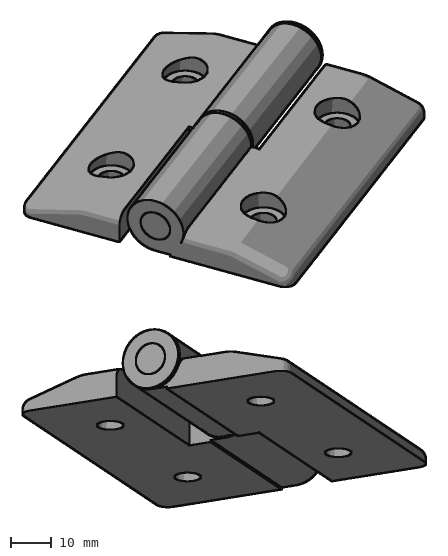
import cadquery as cq
import math


hinge_width = 73.0
hinge_length = 81.1
half_width = hinge_width / 2
front_y = -hinge_length / 2
back_y = hinge_length / 2

washer_thickness = 1.0
axial_play = 0.1

leaf_length = hinge_length - washer_thickness - axial_play
leaf_height = 8.0
leaf_edge_x = 9.7
edge_radius = 3.0
side_height = 1.05
slope_angle = math.radians(16.3)
bend_radius = 10.0

knuckle_radius = 7.55
axis_z = leaf_height
knuckle_length = (leaf_length - washer_thickness) / 2
pin_radius = 4.0
relief_half_width = 4.0
relief_height = axis_z - knuckle_radius

hole_x = 20.5
hole_spacing = 43.0
hole_diameter = 6.5
counterbore_diameter = 11.0
counterbore_floor_z = 3.6

slope_outer_z = (
    side_height
    + edge_radius / math.cos(slope_angle)
    - edge_radius * math.tan(slope_angle)
)
bend_x = half_width - (leaf_height - slope_outer_z) / math.tan(slope_angle)


def y_cylinder(radius, y_start, length):
    """Cylinder on the pin axis, running in +Y from y_start."""
    return (
        cq.Workplane("XZ", origin=(0, y_start, axis_z))
        .circle(radius)
        .extrude(-length)
    )


def make_plate():
    """Rounded plate with a sloping outer side, reaching in to the pin axis."""
    tangent_length = bend_radius * math.tan(slope_angle / 2)
    bend_inner = (bend_x - tangent_length, leaf_height)
    bend_middle = (
        bend_inner[0] + bend_radius * math.sin(slope_angle / 2),
        leaf_height - bend_radius * (1 - math.cos(slope_angle / 2)),
    )
    bend_outer = (
        bend_x + tangent_length * math.cos(slope_angle),
        leaf_height - tangent_length * math.sin(slope_angle),
    )
    plate = (
        cq.Workplane("XZ", origin=(0, front_y, 0))
        .moveTo(0, 0)
        .lineTo(half_width, 0)
        .lineTo(half_width, slope_outer_z)
        .lineTo(*bend_outer)
        .threePointArc(bend_middle, bend_inner)
        .lineTo(0, leaf_height)
        .close()
        .extrude(-leaf_length)
    )
    slope_middle_x = (half_width + bend_outer[0]) / 2
    slope_middle_z = (slope_outer_z + bend_outer[1]) / 2
    leaf_back_y = front_y + leaf_length
    rim_points = [
        (half_width, (front_y + leaf_back_y) / 2, slope_outer_z),
        (slope_middle_x, front_y, slope_middle_z),
        (slope_middle_x, leaf_back_y, slope_middle_z),
    ]
    rounded_edges = plate.edges("|Z and >X").vals()
    for point in rim_points:
        rounded_edges.append(plate.edges(cq.selectors.NearestToPointSelector(point)).val())
    return plate.newObject(rounded_edges).fillet(edge_radius)


def make_leaf():
    """Right-hand leaf, with its knuckle at the front end of the hinge."""
    clearance = cq.Workplane("XY").box(
        leaf_edge_x, leaf_length, leaf_height, centered=False
    ).translate((0, front_y + knuckle_length, 0))
    relief = cq.Workplane("XY").box(
        relief_half_width, leaf_length, relief_height, centered=False
    ).translate((0, front_y, 0))
    holes = [(hole_x, front_y + (leaf_length + side * hole_spacing) / 2) for side in (-1, 1)]
    screw_holes = cq.Workplane("XY").pushPoints(holes).circle(hole_diameter / 2).extrude(leaf_height)
    counterbores = (
        cq.Workplane("XY", origin=(0, 0, counterbore_floor_z))
        .pushPoints(holes)
        .circle(counterbore_diameter / 2)
        .extrude(leaf_height)
    )
    return (
        make_plate()
        .cut(clearance)
        .cut(relief)
        .union(y_cylinder(knuckle_radius, front_y, knuckle_length))
        .cut(y_cylinder(pin_radius, front_y, knuckle_length))
        .cut(screw_holes)
        .cut(counterbores)
    )


def make_washer(y_start):
    """Flat ring around the pin, flush with the knuckles."""
    outside = y_cylinder(knuckle_radius, y_start, washer_thickness)
    return outside.cut(y_cylinder(pin_radius, y_start, washer_thickness))


right_leaf = make_leaf()
left_leaf = right_leaf.rotate((0, 0, 0), (0, 0, 1), 180).translate((0, -washer_thickness, 0))

back_washer_y = back_y - washer_thickness
middle_washer_y = back_washer_y - knuckle_length - washer_thickness
washers = [make_washer(y) for y in (middle_washer_y, back_washer_y)]

pin = y_cylinder(pin_radius, front_y, hinge_length)

result = cq.Compound.makeCompound(
    [right_leaf.val(), left_leaf.val(), pin.val(), *[washer.val() for washer in washers]]
)